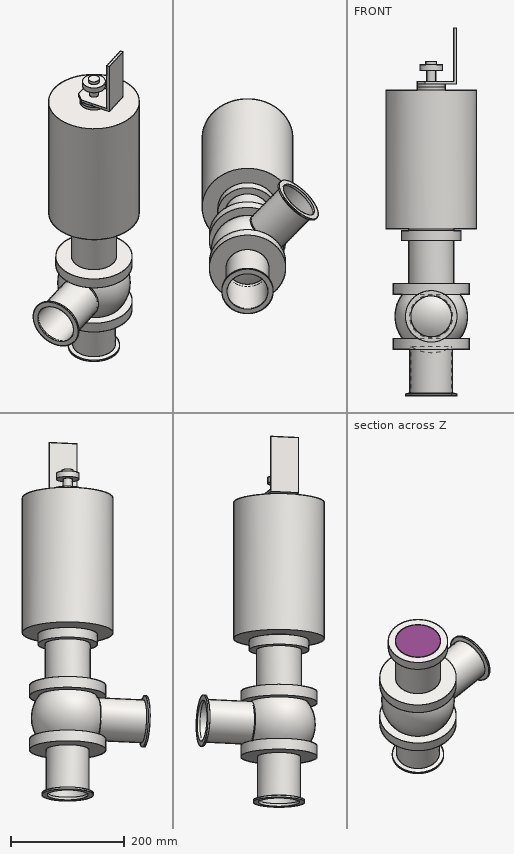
import cadquery as cq


BALL_DIAMETER = 129.0
BALL_CENTER_Z = 140.5
FLANGE_DIAMETER = 135.0
FLANGE_THICKNESS = 19.5
FLANGE_GAP = 78.0

PIPE_DIAMETER = 76.0
BORE_DIAMETER = 72.0
FERRULE_DIAMETER = 91.0
FERRULE_RIM = 3.0
FERRULE_TAPER = 2.0
SIDE_PIPE_REACH = 140.0

NECK_DIAMETER = 80.0
COLLAR_DIAMETER = 105.0
COLLAR_BOTTOM = 274.5
COLLAR_THICKNESS = 17.5
ACTUATOR_DIAMETER = 160.5
ACTUATOR_BOTTOM = 295.0
ACTUATOR_TOP = 540.0

BOSS_DIAMETER = 50.0
BOSS_HEIGHT = 5.0
WASHER_HEIGHT = 5.0
STEM_DIAMETER = 16.0
DISC_DIAMETER = 40.0
DISC_BOTTOM = 575.0
DISC_THICKNESS = 10.5
TIP_DIAMETER = 19.5
TIP_HEIGHT = 6.0

BRACKET_WIDTH = BOSS_DIAMETER
BRACKET_THICKNESS = 5.0
BRACKET_RIGHT = 45.0
BRACKET_TOP = 650.0
BRACKET_CHAMFER = 13.5

LOWER_FLANGE_TOP = BALL_CENTER_Z - FLANGE_GAP / 2
UPPER_FLANGE_BOTTOM = BALL_CENTER_Z + FLANGE_GAP / 2
UPPER_FLANGE_TOP = UPPER_FLANGE_BOTTOM + FLANGE_THICKNESS
BOSS_TOP = ACTUATOR_TOP + BOSS_HEIGHT
BRACKET_BOTTOM = BOSS_TOP + WASHER_HEIGHT
BRACKET_LEFT = -BOSS_DIAMETER / 2
DISC_TOP = DISC_BOTTOM + DISC_THICKNESS


def cylinder(diameter, bottom, top):
    """Upright cylinder on the valve axis."""
    return cq.Workplane("XY").workplane(offset=bottom).circle(diameter / 2).extrude(top - bottom)


def make_pipe(length):
    """Pipe with a ferrule at Z = 0, running up to `length`."""
    pipe_radius = PIPE_DIAMETER / 2
    bore_radius = BORE_DIAMETER / 2
    ferrule_radius = FERRULE_DIAMETER / 2
    profile = (
        cq.Workplane("XZ")
        .moveTo(bore_radius, 0)
        .lineTo(ferrule_radius, 0)
        .lineTo(ferrule_radius, FERRULE_RIM)
        .lineTo(pipe_radius, FERRULE_RIM + FERRULE_TAPER)
        .lineTo(pipe_radius, length)
        .lineTo(bore_radius, length)
        .close()
    )
    return profile.revolve(360, (0, 0, 0), (0, 1, 0))


def make_chamber():
    """Ball chamber with two flanges, a lower pipe and a side pipe; the ball closes both bores."""
    ball = cq.Workplane("XY").sphere(BALL_DIAMETER / 2).translate((0, 0, BALL_CENTER_Z))
    lower_flange = cylinder(FLANGE_DIAMETER, LOWER_FLANGE_TOP - FLANGE_THICKNESS, LOWER_FLANGE_TOP)
    lower_bore = cylinder(BORE_DIAMETER, 0, LOWER_FLANGE_TOP)
    upper_flange = cylinder(FLANGE_DIAMETER, UPPER_FLANGE_BOTTOM, UPPER_FLANGE_TOP)
    lower_pipe = make_pipe(BALL_CENTER_Z)
    side_pipe = (
        make_pipe(SIDE_PIPE_REACH)
        .rotate((0, 0, 0), (1, 0, 0), -90)
        .translate((0, -SIDE_PIPE_REACH, BALL_CENTER_Z))
    )
    return lower_flange.cut(lower_bore).union(lower_pipe).union(side_pipe).union(ball).union(upper_flange)


def make_actuator():
    """Neck, collar, actuator cylinder and the boss on its top face."""
    return (
        cylinder(NECK_DIAMETER, UPPER_FLANGE_TOP, ACTUATOR_BOTTOM)
        .union(cylinder(COLLAR_DIAMETER, COLLAR_BOTTOM, COLLAR_BOTTOM + COLLAR_THICKNESS))
        .union(cylinder(ACTUATOR_DIAMETER, ACTUATOR_BOTTOM, ACTUATOR_TOP))
        .union(cylinder(BOSS_DIAMETER, ACTUATOR_TOP, BOSS_TOP))
    )


def make_bracket():
    """L-shaped plate with two clipped corners."""
    outline = (
        cq.Workplane("XZ")
        .moveTo(BRACKET_LEFT, BRACKET_BOTTOM)
        .lineTo(BRACKET_RIGHT, BRACKET_BOTTOM)
        .lineTo(BRACKET_RIGHT, BRACKET_TOP)
        .lineTo(BRACKET_RIGHT - BRACKET_THICKNESS, BRACKET_TOP)
        .lineTo(BRACKET_RIGHT - BRACKET_THICKNESS, BRACKET_BOTTOM + BRACKET_THICKNESS)
        .lineTo(BRACKET_LEFT, BRACKET_BOTTOM + BRACKET_THICKNESS)
        .close()
    )
    plate = outline.extrude(BRACKET_WIDTH / 2, both=True)
    return plate.edges("|Z and <X").chamfer(BRACKET_CHAMFER)


def make_indicator():
    """Washer standing on the boss, with the bracket, stem, disc and stem tip above it."""
    return (
        cylinder(BOSS_DIAMETER, BOSS_TOP, BRACKET_BOTTOM)
        .union(make_bracket())
        .union(cylinder(STEM_DIAMETER, BRACKET_BOTTOM, DISC_BOTTOM))
        .union(cylinder(DISC_DIAMETER, DISC_BOTTOM, DISC_TOP))
        .union(cylinder(TIP_DIAMETER, DISC_TOP, DISC_TOP + TIP_HEIGHT))
    )


valve = make_chamber().union(make_actuator())
indicator = make_indicator()

result = cq.Compound.makeCompound([valve.val(), indicator.val()])